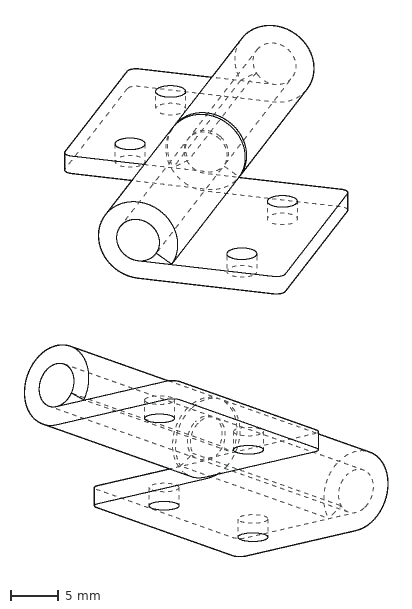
import cadquery as cq
import math

total_length = 50.5
leaf_gap = 0.5
leaf_reach = 16.0
knuckle_radius = 4.4
sheet_thickness = 2.0
corner_radius = 1.0
hole_diameter = 3.2
hole_reach = 10.0
hole_spacing = 15.0
roll_end_angle = 32.0

pin_radius = knuckle_radius - sheet_thickness
leaf_length = (total_length - leaf_gap) / 2
leaf_center_y = -(leaf_gap + leaf_length) / 2


def roll_end_point(radius):
    """Point on the radial face that ends the roll, in the XZ plane."""
    angle = math.radians(-roll_end_angle)
    return (radius * math.cos(angle), radius * math.sin(angle))


def make_leaf():
    """Leaf on the -Y half, rolled around the pin, with its plate toward +X."""
    leaf = (
        cq.Workplane("XZ")
        .moveTo(0, -knuckle_radius)
        .threePointArc((-knuckle_radius, 0), roll_end_point(knuckle_radius))
        .lineTo(*roll_end_point(pin_radius))
        .threePointArc((-pin_radius, 0), (0, -pin_radius))
        .lineTo(leaf_reach, -pin_radius)
        .lineTo(leaf_reach, -knuckle_radius)
        .close()
        .extrude(leaf_length / 2, both=True)
        .translate((0, leaf_center_y, 0))
    )

    free_edge = cq.selectors.BoxSelector(
        (leaf_reach - corner_radius, -total_length, -knuckle_radius),
        (leaf_reach + corner_radius, total_length, 0),
    )
    leaf = leaf.edges("|Z").edges(free_edge).fillet(corner_radius)

    holes = (
        cq.Workplane("XY", origin=(hole_reach, leaf_center_y, -knuckle_radius))
        .rarray(0.5, hole_spacing, 1, 2)
        .circle(hole_diameter / 2)
        .extrude(sheet_thickness)
    )
    return leaf.cut(holes)


def make_pin():
    """Pin running the full length, flush with the outer ends of both leaves."""
    return cq.Workplane("XZ").circle(pin_radius).extrude(total_length / 2, both=True)


leaves = []
for turn in (0, 180):
    leaves.append(make_leaf().rotate((0, 0, 0), (0, 0, 1), turn))

pin = make_pin()

result = cq.Compound.makeCompound([*[leaf.val() for leaf in leaves], pin.val()])